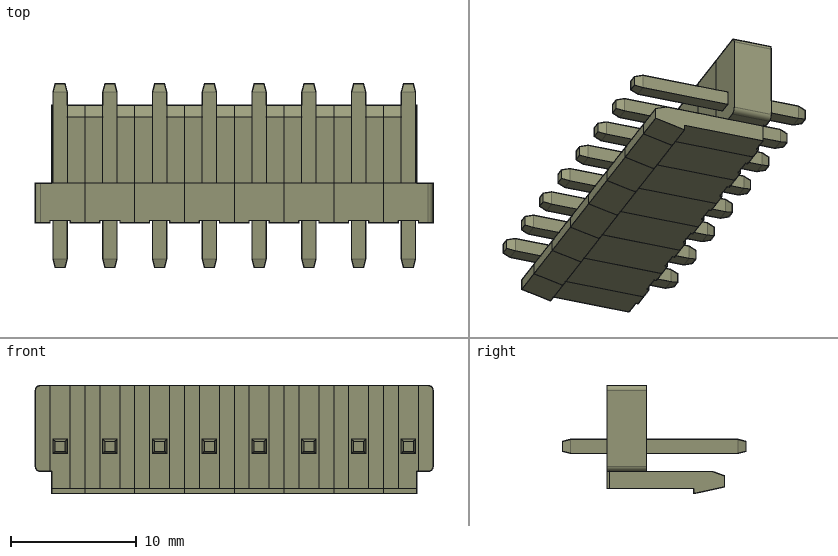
import cadquery as cq

POLE_COUNT = 8
PITCH = 3.95
ROW_LENGTH = POLE_COUNT * PITCH

WALL_THICKNESS = 3.15
WALL_HEIGHT = 6.83
END_CORNER_RADIUS = 0.4

GROOVE_WIDTH = 1.58
GROOVE_DEPTH = 0.2

PIN_WIDTH = 1.15
PIN_TIP_WIDTH = 0.8
PIN_TIP_LENGTH = 0.65
PIN_FRONT_LENGTH = 3.55
PIN_BACK_LENGTH = 7.9
PIN_HEIGHT = 2.0

LATCH_THICKNESS = 1.35
LATCH_REACH = 6.2
LATCH_END_INSET = 1.3
NOSE_BEVEL_LENGTH = 0.95
NOSE_BEVEL_DROP = 0.35
NOSE_FACE_BOTTOM = 1.23
HOOK_LENGTH = 2.47
HOOK_DEPTH = 0.4


def wall_block(left, is_first, is_last):
    """Wall of one pole, with rounded corners on a side that ends the row."""
    block = cq.Workplane("XY").box(PITCH, WALL_THICKNESS, WALL_HEIGHT, centered=False)
    if is_first:
        block = block.edges("|Y and <X").fillet(END_CORNER_RADIUS)
    if is_last:
        block = block.edges("|Y and >X").fillet(END_CORNER_RADIUS)
    return block.translate((left, 0, 0))


def latch_strip(left, right):
    """Latch profile in the YZ plane, extruded from left to right."""
    back = WALL_THICKNESS + LATCH_REACH
    profile = [
        (0, 0),
        (back - NOSE_BEVEL_LENGTH, 0),
        (back, -NOSE_BEVEL_DROP),
        (back, -NOSE_FACE_BOTTOM),
        (back - HOOK_LENGTH, -LATCH_THICKNESS - HOOK_DEPTH),
        (back - HOOK_LENGTH, -LATCH_THICKNESS),
        (0, -LATCH_THICKNESS),
    ]
    return cq.Workplane("YZ", origin=(left, 0, 0)).polyline(profile).close().extrude(right - left)


def front_groove(center):
    """Cutter for the groove that runs down the wall and the latch strip."""
    return (
        cq.Workplane("XY")
        .box(GROOVE_WIDTH, GROOVE_DEPTH, WALL_HEIGHT + LATCH_THICKNESS, centered=(True, False, False))
        .translate((center, 0, -LATCH_THICKNESS))
    )


def pin_tip(center, shoulder, end):
    """Square taper from the pin section at Y = shoulder to the small face at Y = end."""
    return (
        cq.Workplane("XZ", origin=(center, shoulder, PIN_HEIGHT))
        .rect(PIN_WIDTH, PIN_WIDTH)
        .workplane(offset=shoulder - end)
        .rect(PIN_TIP_WIDTH, PIN_TIP_WIDTH)
        .loft(ruled=True)
    )


def contact_pin(center):
    """Pin along Y, tapered at both ends."""
    front_end = -PIN_FRONT_LENGTH
    back_end = WALL_THICKNESS + PIN_BACK_LENGTH
    front_shoulder = front_end + PIN_TIP_LENGTH
    back_shoulder = back_end - PIN_TIP_LENGTH
    shank = (
        cq.Workplane("XZ", origin=(center, front_shoulder, PIN_HEIGHT))
        .rect(PIN_WIDTH, PIN_WIDTH)
        .extrude(front_shoulder - back_shoulder)
    )
    front_tip = pin_tip(center, front_shoulder, front_end)
    back_tip = pin_tip(center, back_shoulder, back_end)
    return shank.union(front_tip).union(back_tip)


def pole(index):
    """One pole of the row as a single solid."""
    is_first = index == 0
    is_last = index == POLE_COUNT - 1
    left = index * PITCH - ROW_LENGTH / 2
    right = left + PITCH
    center = (left + right) / 2
    latch_left = left + (LATCH_END_INSET if is_first else 0)
    latch_right = right - (LATCH_END_INSET if is_last else 0)
    housing = wall_block(left, is_first, is_last).union(latch_strip(latch_left, latch_right))
    return housing.cut(front_groove(center)).union(contact_pin(center)).solids()


poles = [pole(index) for index in range(POLE_COUNT)]

result = cq.Compound.makeCompound([body.val() for body in poles])